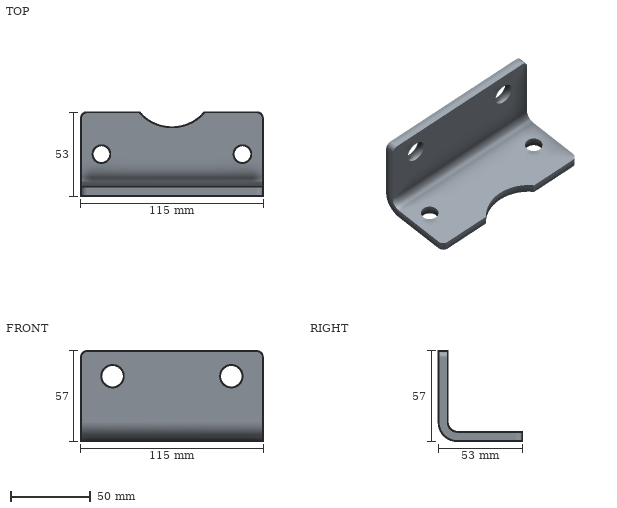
import cadquery as cq

length = 115.0
depth = 53.0
height = 57.0
thickness = 6.0
inner_bend_radius = 6.0
outer_bend_radius = inner_bend_radius + thickness
corner_radius = 4.0

upright_hole_diameter = 14.0
upright_hole_end_inset = 20.0
upright_hole_drop = 16.0

base_hole_diameter = 11.0
base_hole_end_inset = 13.0
base_hole_back_inset = 26.6

notch_radius = 27.0
notch_depth = 9.5


def bent_plate():
    """L-shaped strip with a concentric bend, centred on X."""
    leg_l = (
        cq.Workplane("YZ")
        .moveTo(depth, 0)
        .lineTo(0, 0)
        .lineTo(0, height)
        .lineTo(thickness, height)
        .lineTo(thickness, thickness)
        .lineTo(depth, thickness)
        .close()
        .extrude(length / 2, both=True)
    )
    bent = leg_l.edges(cq.selectors.NearestToPointSelector((0, 0, 0))).fillet(outer_bend_radius)
    inner_corner = cq.selectors.NearestToPointSelector((0, thickness, thickness))
    return bent.edges(inner_corner).fillet(inner_bend_radius)


def round_free_corners(plate):
    """Round the two outer corners of each flange."""
    plate = plate.faces(">Z").edges("|Y").fillet(corner_radius)
    return plate.faces(">Y").edges("|Z").fillet(corner_radius)


def upright_holes():
    x = length / 2 - upright_hole_end_inset
    z = height - upright_hole_drop
    return (
        cq.Workplane("XZ")
        .pushPoints([(-x, z), (x, z)])
        .circle(upright_hole_diameter / 2)
        .extrude(-thickness)
    )


def base_holes():
    x = length / 2 - base_hole_end_inset
    y = depth - base_hole_back_inset
    return (
        cq.Workplane("XY")
        .pushPoints([(-x, y), (x, y)])
        .circle(base_hole_diameter / 2)
        .extrude(thickness)
    )


def edge_notch():
    centre_y = depth - notch_depth + notch_radius
    return cq.Workplane("XY").center(0, centre_y).circle(notch_radius).extrude(thickness)


result = (
    round_free_corners(bent_plate())
    .cut(upright_holes())
    .cut(base_holes())
    .cut(edge_notch())
)